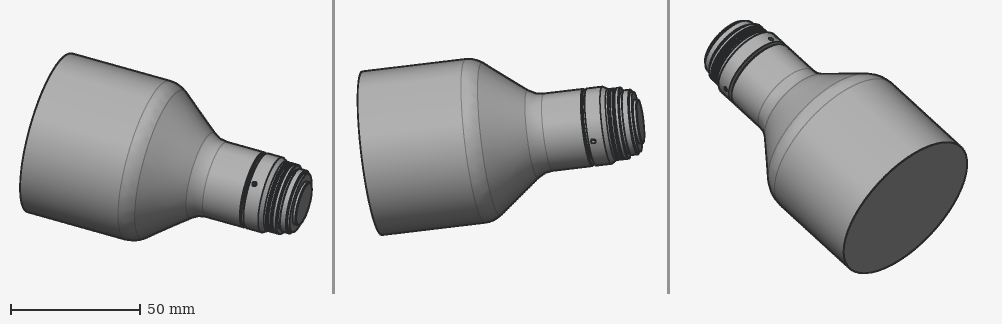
import cadquery as cq
import math


total_length = 105.8
barrel_radius = 32.01
barrel_edge_chamfer = 0.1
cone_start = 44.1
cone_end = 65.9
cone_blend_radius = 10.1
neck_radius = 15.1
neck_end = 85.3
neck_chamfer = 0.4
shoulder_radius = 12.3
spigot_radius = 11.7
spigot_end = 104.3
tip_radius = 8.7
tip_chamfer = 0.3

ring_start = 86.5
collar_radius = neck_radius
collar_end = 92.5
thread_start = 94.4
thread_radius = 14.0
thread_root_radius = 13.4
thread_bevel = 0.2
thread_grooves = [(95.5, 96.3), (97.4, 98.1)]
thread_end = 99.6
relief_radius = 12.1
land_start = 100.6
land_radius = 12.7
land_chamfer = 0.3
ring_end = 103.4

hole_count = 3
hole_diameter = 1.8
hole_position = 88.4
first_hole_angle = 56.5


def revolve_about_x(points):
    """Turn a closed (axial, radial) outline about the X axis."""
    outline = cq.Workplane("XY").polyline(points).close()
    return outline.revolve(360, (0, 0, 0), (1, 0, 0))


def edge_at(axial, radius):
    """Selector for the circular edge at one axial place and radius."""
    margin = 0.05
    return cq.selectors.BoxSelector(
        (axial - margin, -radius - margin, -radius - margin),
        (axial + margin, radius + margin, radius + margin),
        boundingbox=True,
    )


def make_housing():
    body = revolve_about_x([
        (0, 0),
        (0, barrel_radius - barrel_edge_chamfer),
        (barrel_edge_chamfer, barrel_radius),
        (cone_start, barrel_radius),
        (cone_end, neck_radius),
        (neck_end - neck_chamfer, neck_radius),
        (neck_end, neck_radius - neck_chamfer),
        (neck_end, shoulder_radius),
        (ring_start, shoulder_radius),
        (ring_start, spigot_radius),
        (spigot_end, spigot_radius),
        (spigot_end, tip_radius),
        (total_length - tip_chamfer, tip_radius),
        (total_length, tip_radius - tip_chamfer),
        (total_length, 0),
    ])
    body = body.edges(edge_at(cone_start, barrel_radius)).fillet(cone_blend_radius)
    return body.edges(edge_at(cone_end, neck_radius)).fillet(cone_blend_radius)


def make_ring_blank():
    points = [
        (ring_start, spigot_radius),
        (ring_start, collar_radius),
        (collar_end, collar_radius),
        (thread_start, thread_radius),
    ]
    for groove_start, groove_end in thread_grooves:
        points += [
            (groove_start - thread_bevel, thread_radius),
            (groove_start, thread_root_radius),
            (groove_end - thread_bevel, thread_root_radius),
            (groove_end, thread_radius),
        ]
    points += [
        (thread_end - thread_bevel, thread_radius),
        (thread_end, thread_radius - thread_bevel),
        (thread_end, relief_radius),
        (land_start, relief_radius),
        (land_start, land_radius),
        (ring_end - land_chamfer, land_radius),
        (ring_end, land_radius - land_chamfer),
        (ring_end, spigot_radius),
    ]
    return revolve_about_x(points)


def make_hole_cutter(angle):
    """Radial cylinder from the axis outwards past the collar."""
    direction = cq.Vector(0, -math.cos(math.radians(angle)), math.sin(math.radians(angle)))
    cutter_length = collar_radius + hole_diameter
    start = cq.Vector(hole_position, 0, 0)
    return cq.Solid.makeCylinder(hole_diameter / 2, cutter_length, start, direction)


def make_threaded_ring():
    ring = make_ring_blank()
    for index in range(hole_count):
        ring = ring.cut(cq.Workplane(make_hole_cutter(first_hole_angle + index * 360 / hole_count)))
    return ring


housing = make_housing()
threaded_ring = make_threaded_ring()

result = cq.Compound.makeCompound([housing.solids().val(), threaded_ring.solids().val()])